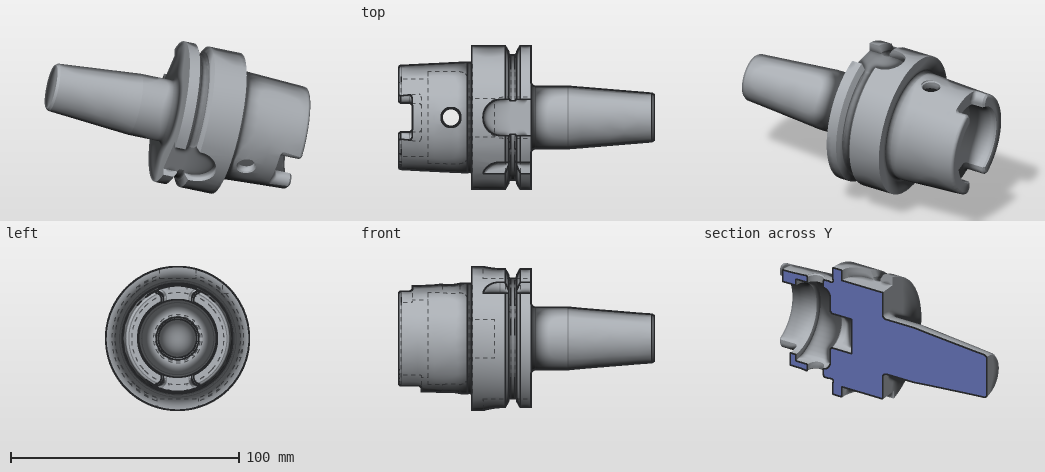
import cadquery as cq
import math

total_length = 112.0
flange_radius = 31.5
flange_front = 32.0
flange_back = 58.0

taper_end_radius = 22.7
taper_slope = 1 / 20
taper_end_round = 1.2
taper_length = 30.0

relief_start = 30.6
relief_depth = 0.17
relief_round = 0.8
relief_face_depth = 0.17
relief_face_radius = 25.5

groove_center = 50.0
groove_floor_radius = 27.4
groove_floor_half_width = 1.8
groove_top_half_width = 3.4
groove_flank_start_radius = 28.8
groove_floor_round = 0.9

neck_radius = 13.7
neck_fillet = 1.9
nose_taper_start = 74.0
nose_end_radius = 10.5
nose_end_chamfer = (1.1, 0.8)

bore_radius = 17.0
bore_depth = 30.7
bore_mouth_chamfer = (0.9, 0.5)
bore_floor_round = 4.4
undercut_start = 12.9
undercut_radius = 20.2
pilot_radius = 8.4
pilot_depth = 11.2
pilot_chamfer = 0.9

notch_half_width = 6.3
notch_flare_radius = 3.2
notch_flare_height = 17.5
notch_floor_round = 1.3
notch_mouth_chamfer = 0.9
top_notch_depth = 6.0
bottom_notch_depth = 10.0

cross_hole_x = 23.0
cross_hole_radius = 3.9
cross_hole_chamfer = 0.5

slot_start = 37.0
slot_floor_height = 26.4
top_slot_width = 15.9
bottom_slot_width = 18.0

pocket_start = 36.3
pocket_wall_y = -19.6
pocket_floor_z = 19.7
pocket_corner_radius = 8.0
pocket_floor_round = 0.6

overshoot = 5.6

arc_inset = 1 - math.sqrt(0.5)


def taper_radius(x):
    return taper_end_radius + taper_slope * x


def revolve_about_x(profile):
    return profile.close().revolve(360, (0, 0, 0), (1, 0, 0))


def outer_body():
    """Solid outline of the taper shank, flange and nose, without any cut-outs."""
    end_chamfer_length, end_chamfer_drop = nose_end_chamfer
    relief_radius = taper_radius(taper_length) - relief_depth
    relief_face = flange_front + relief_face_depth
    nose_slope = (neck_radius - nose_end_radius) / (total_length - nose_taper_start)
    chamfer_top = nose_end_radius + nose_slope * end_chamfer_length
    profile = (
        cq.Workplane("XY")
        .lineTo(0, taper_end_radius - taper_end_round)
        .threePointArc(
            (taper_end_round * arc_inset, taper_end_radius - taper_end_round * arc_inset),
            (taper_end_round, taper_radius(taper_end_round)),
        )
        .lineTo(taper_length, taper_radius(taper_length))
        .lineTo(relief_start, relief_radius)
        .lineTo(relief_face - relief_round, relief_radius)
        .threePointArc(
            (relief_face - relief_round * arc_inset, relief_radius + relief_round * arc_inset),
            (relief_face, relief_radius + relief_round),
        )
        .lineTo(flange_front, relief_face_radius)
        .lineTo(flange_front, flange_radius)
        .lineTo(flange_back, flange_radius)
        .lineTo(flange_back, neck_radius + neck_fillet)
        .threePointArc(
            (flange_back + neck_fillet * arc_inset, neck_radius + neck_fillet * arc_inset),
            (flange_back + neck_fillet, neck_radius),
        )
        .lineTo(nose_taper_start, neck_radius)
        .lineTo(total_length - end_chamfer_length, chamfer_top)
        .lineTo(total_length, chamfer_top - end_chamfer_drop)
        .lineTo(total_length, 0)
    )
    return revolve_about_x(profile)


def gripper_groove():
    """Ring with sloped upper flanks, straight lower walls and a rounded floor."""
    left_floor = groove_center - groove_floor_half_width
    right_floor = groove_center + groove_floor_half_width
    round_top = groove_floor_radius + groove_floor_round
    round_middle = groove_floor_radius + groove_floor_round * arc_inset
    flank_height = flange_radius - groove_flank_start_radius
    flank_slope = (groove_top_half_width - groove_floor_half_width) / flank_height
    tool_radius = flange_radius + overshoot
    tool_half_width = groove_top_half_width + flank_slope * overshoot
    profile = (
        cq.Workplane("XY")
        .moveTo(groove_center - tool_half_width, tool_radius)
        .lineTo(left_floor, groove_flank_start_radius)
        .lineTo(left_floor, round_top)
        .threePointArc(
            (left_floor + groove_floor_round * arc_inset, round_middle),
            (left_floor + groove_floor_round, groove_floor_radius),
        )
        .lineTo(right_floor - groove_floor_round, groove_floor_radius)
        .threePointArc(
            (right_floor - groove_floor_round * arc_inset, round_middle),
            (right_floor, round_top),
        )
        .lineTo(right_floor, groove_flank_start_radius)
        .lineTo(groove_center + tool_half_width, tool_radius)
    )
    return revolve_about_x(profile)


def shank_bore():
    """Stepped blind bore from the taper end: mouth, undercut and central pilot."""
    mouth_length, mouth_widening = bore_mouth_chamfer
    pilot_end = bore_depth + pilot_depth
    profile = (
        cq.Workplane("XY")
        .lineTo(0, bore_radius + mouth_widening)
        .lineTo(mouth_length, bore_radius)
        .lineTo(undercut_start, bore_radius)
        .lineTo(undercut_start, undercut_radius)
        .lineTo(bore_depth - bore_floor_round, undercut_radius)
        .threePointArc(
            (bore_depth - bore_floor_round * arc_inset, undercut_radius - bore_floor_round * arc_inset),
            (bore_depth, undercut_radius - bore_floor_round),
        )
        .lineTo(bore_depth, pilot_radius + pilot_chamfer)
        .lineTo(bore_depth + pilot_chamfer, pilot_radius)
        .lineTo(pilot_end, pilot_radius)
        .lineTo(pilot_end, 0)
    )
    return revolve_about_x(profile)


def notch_outline(growth):
    """Outline whose walls flare outwards in an arc near the taper surface, grown by an offset."""
    half_width = notch_half_width + growth
    flare_radius = notch_flare_radius - growth
    flare_center_y = notch_half_width + notch_flare_radius
    flare_top = notch_flare_height + flare_radius
    flare_inset = flare_radius * arc_inset
    outer_y = flare_center_y + overshoot
    top = flare_top + overshoot
    return (
        cq.Workplane("YZ")
        .moveTo(-half_width, 0)
        .lineTo(half_width, 0)
        .lineTo(half_width, notch_flare_height)
        .threePointArc((half_width + flare_inset, flare_top - flare_inset), (flare_center_y, flare_top))
        .lineTo(outer_y, flare_top)
        .lineTo(outer_y, top)
        .lineTo(-outer_y, top)
        .lineTo(-outer_y, flare_top)
        .lineTo(-flare_center_y, flare_top)
        .threePointArc(
            (-half_width - flare_inset, flare_top - flare_inset),
            (-half_width, notch_flare_height),
        )
        .close()
    )


def drive_notch(depth):
    """Notch on the +Z side with a rounded floor and a chamfered mouth."""
    notch = notch_outline(0).extrude(depth).faces(">X").edges().fillet(notch_floor_round)
    wide_end = notch_outline(notch_mouth_chamfer).wires().val()
    narrow_end = notch_outline(0).wires().val().translate(cq.Vector(notch_mouth_chamfer, 0, 0))
    mouth = cq.Solid.makeLoft([wide_end, narrow_end], True)
    return notch.union(cq.Workplane(mouth))


def cross_hole():
    """Hole along Z through both walls, countersunk at each outer end."""
    mouth = taper_radius(cross_hole_x)
    top = mouth + overshoot
    countersink_radius = cross_hole_radius + cross_hole_chamfer
    profile = (
        cq.Workplane("XZ", origin=(cross_hole_x, 0, 0))
        .lineTo(cross_hole_radius, 0)
        .lineTo(cross_hole_radius, mouth - 2 * cross_hole_chamfer)
        .lineTo(countersink_radius, mouth - cross_hole_chamfer)
        .lineTo(countersink_radius, top)
        .lineTo(0, top)
        .close()
    )
    half = profile.revolve(360, (0, 0, 0), (0, 1, 0))
    return half.union(half.mirror("XY"))


def key_slot(width):
    """Slot on the +Z side with a round front end, open at the back of the flange."""
    end_center = slot_start + width / 2
    length = flange_back + overshoot - end_center
    height = flange_radius + overshoot - slot_floor_height
    floor = cq.Workplane("XY", origin=(end_center, 0, slot_floor_height))
    round_end = floor.circle(width / 2).extrude(height)
    straight_run = floor.center(length / 2, 0).rect(length, width).extrude(height)
    return round_end.union(straight_run)


def corner_pocket():
    """Pocket facing -Y and +Z with a rounded front end, open at the back of the flange."""
    length = flange_back + overshoot - pocket_start
    width = flange_radius + overshoot + pocket_wall_y
    height = flange_radius + overshoot - pocket_floor_z
    block = cq.Workplane("XY").box(length, width, height, centered=False)
    block = block.edges("|Z and <X and >Y").fillet(pocket_corner_radius)
    block = block.faces("<Z").edges().fillet(pocket_floor_round)
    return block.translate((pocket_start, pocket_wall_y - width, pocket_floor_z))


def to_bottom(tool):
    """Turn a +Z side cutting tool round to the -Z side."""
    return tool.rotate((0, 0, 0), (1, 0, 0), 180)


result = outer_body()
result = result.cut(gripper_groove())
result = result.cut(shank_bore())
result = result.cut(drive_notch(top_notch_depth))
result = result.cut(to_bottom(drive_notch(bottom_notch_depth)))
result = result.cut(cross_hole())
result = result.cut(key_slot(top_slot_width))
result = result.cut(to_bottom(key_slot(bottom_slot_width)))
result = result.cut(corner_pocket())